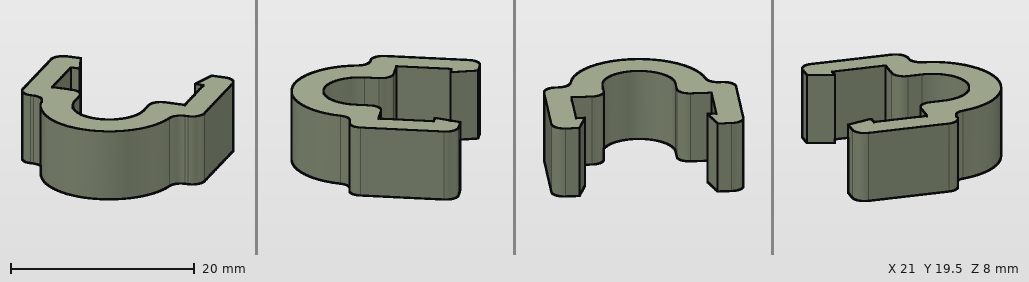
import cadquery as cq

width = 21.0
length = 19.47
thickness = 8.0
ring_radius = 7.48
bore_radius = 4.0
floor_y = 3.0
slot_half_width = 7.66
hook_base_y = 9.07
hook_tip_x = 6.68
hook_top_x = 7.55
corner_radius = 1.4

half_width = width / 2
arm_end_y = length - ring_radius


def make_outer_body():
    """Arms block joined to the round end, with all outer corners blended."""
    arms = cq.Workplane("XY").rect(width, arm_end_y).extrude(thickness)
    arms = arms.translate((0, arm_end_y / 2, 0))
    arms = arms.edges("|Z").fillet(corner_radius)
    ring = cq.Workplane("XY").circle(ring_radius).extrude(thickness)
    body = arms.union(ring)
    for side in (-1, 1):
        junction = cq.NearestToPointSelector((side * ring_radius, 0, thickness / 2))
        body = body.edges("|Z").edges(junction).fillet(corner_radius)
    return body


def make_opening():
    """Bore, slot and hook mouth, with rounded shoulders beside the bore."""
    shoulder_x = bore_radius + corner_radius
    shoulder_y = floor_y - corner_radius
    return (
        cq.Workplane("XY")
        .moveTo(-bore_radius, 0)
        .threePointArc((0, -bore_radius), (bore_radius, 0))
        .lineTo(bore_radius, shoulder_y)
        .radiusArc((shoulder_x, floor_y), corner_radius)
        .lineTo(slot_half_width, floor_y)
        .lineTo(slot_half_width, hook_base_y)
        .lineTo(hook_tip_x, hook_base_y)
        .lineTo(hook_top_x, arm_end_y)
        .lineTo(-hook_top_x, arm_end_y)
        .lineTo(-hook_tip_x, hook_base_y)
        .lineTo(-slot_half_width, hook_base_y)
        .lineTo(-slot_half_width, floor_y)
        .lineTo(-shoulder_x, floor_y)
        .radiusArc((-bore_radius, shoulder_y), corner_radius)
        .close()
        .extrude(thickness)
    )


result = make_outer_body().cut(make_opening())